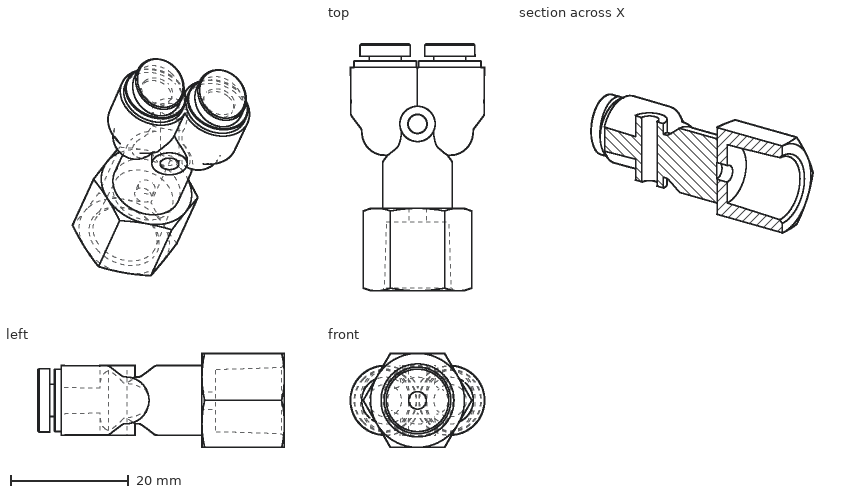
import cadquery as cq
import math


overall_length = 42.0

hex_flats = 16.0
hex_length = 14.03
hex_chamfer_angle = 20.0
thread_mouth_dia = 11.35
thread_floor_dia = 10.63
thread_depth = 11.75
mouth_chamfer = 0.55
socket_bore_dia = 3.0

stem_dia = 11.9
neck_radius = 4.0
stem_shoulder_y = 21.95
stem_cone_end_y = 24.55
arm_offset = 5.5
arm_mouth_radius = stem_dia / 2
arm_root_radius = 5.9
arm_mouth_y = 38.0
arm_cone_top_y = 29.9
arm_cone_end_y = 27.43
arm_dome_y = 27.0
shoulder_fillet = 0.8
neck_fillet = 0.85

boss_dia = 6.0
boss_hole_dia = 3.2
boss_y = 28.4

cap_dia = 10.65
cap_thickness = 1.15
cap_chamfer = 0.13

button_width = 8.55
button_height = 10.8
button_thickness = 2.1
button_chamfer = 0.25
button_neck_dia = 5.5

hex_corners = hex_flats / math.cos(math.radians(30))
cap_top_y = arm_mouth_y + cap_thickness
button_bottom_y = overall_length - button_thickness
arm_positions = (-arm_offset, arm_offset)


def revolve_about_y(profile):
    """Turn a closed half-profile in the XY plane around the Y axis."""
    return profile.close().revolve(360, (0, 0, 0), (0, 1, 0))


def plane_across_y(y, x=0.0):
    """Workplane at the given place whose normal is +Y."""
    return cq.Workplane(cq.Plane(origin=(x, y, 0), xDir=(1, 0, 0), normal=(0, 1, 0)))


def ring_edges_at(solid, radius, y):
    """The circular edges of a turned solid at one radius and Y place."""
    margin = 0.1
    box = cq.selectors.BoxSelector(
        (-radius - margin, y - margin, -radius - margin),
        (radius + margin, y + margin, radius + margin),
        boundingbox=True,
    )
    return solid.edges("%CIRCLE").edges(box)


def make_socket():
    """Hexagonal socket with chamfered corners, tapered thread and floor bore."""
    prism = plane_across_y(0).polygon(6, hex_corners).extrude(hex_length)

    corner_drop = (hex_corners - hex_flats) / 2 * math.tan(math.radians(hex_chamfer_angle))
    turned_blank = revolve_about_y(
        cq.Workplane("XY")
        .moveTo(0, 0)
        .lineTo(hex_flats / 2, 0)
        .lineTo(hex_corners / 2, corner_drop)
        .lineTo(hex_corners / 2, hex_length - corner_drop)
        .lineTo(hex_flats / 2, hex_length)
        .lineTo(0, hex_length)
    )

    mouth_radius = thread_mouth_dia / 2
    cavity = revolve_about_y(
        cq.Workplane("XY")
        .moveTo(0, 0)
        .lineTo(mouth_radius + mouth_chamfer, 0)
        .lineTo(mouth_radius, mouth_chamfer)
        .lineTo(thread_floor_dia / 2, thread_depth)
        .lineTo(socket_bore_dia / 2, thread_depth)
        .lineTo(socket_bore_dia / 2, hex_length)
        .lineTo(0, hex_length)
    )
    return prism.intersect(turned_blank).cut(cavity)


def make_stem():
    """Round stem that narrows through a rounded cone to the neck."""
    stem_radius = stem_dia / 2
    stem = revolve_about_y(
        cq.Workplane("XY")
        .moveTo(0, hex_length)
        .lineTo(stem_radius, hex_length)
        .lineTo(stem_radius, stem_shoulder_y)
        .lineTo(neck_radius, stem_cone_end_y)
        .lineTo(neck_radius, boss_y)
        .lineTo(0, boss_y)
    )
    stem = ring_edges_at(stem, stem_radius, stem_shoulder_y).fillet(shoulder_fillet)
    return ring_edges_at(stem, neck_radius, stem_cone_end_y).fillet(neck_fillet)


def make_arm():
    """Slightly tapered arm that narrows through a rounded cone to a dome."""
    arm = revolve_about_y(
        cq.Workplane("XY")
        .moveTo(0, arm_mouth_y)
        .lineTo(arm_mouth_radius, arm_mouth_y)
        .lineTo(arm_root_radius, arm_cone_top_y)
        .lineTo(neck_radius, arm_cone_end_y)
        .lineTo(neck_radius, arm_dome_y)
        .lineTo(0, arm_dome_y)
    )
    arm = ring_edges_at(arm, arm_root_radius, arm_cone_top_y).fillet(shoulder_fillet)
    arm = ring_edges_at(arm, neck_radius, arm_cone_end_y).fillet(neck_fillet)
    dome = cq.Workplane("XY").sphere(neck_radius).translate((0, arm_dome_y, 0))
    return arm.union(dome)


def make_body():
    """Stem, both arms and the drilled mounting boss as one solid."""
    body = make_stem()
    for x in arm_positions:
        body = body.union(make_arm().translate((x, 0, 0)))

    boss_plane = cq.Workplane("XY", origin=(0, boss_y, 0))
    boss = boss_plane.circle(boss_dia / 2).extrude(stem_dia / 2, both=True)
    hole = boss_plane.circle(boss_hole_dia / 2).extrude(stem_dia, both=True)
    return body.union(boss).cut(hole)


def make_cap(x):
    """Round cap on the end of one arm."""
    cap = plane_across_y(arm_mouth_y, x).circle(cap_dia / 2).extrude(cap_thickness)
    return cap.faces(">Y").chamfer(cap_chamfer)


def make_button(x):
    """Oval release button standing on its neck above one cap."""
    neck_length = button_bottom_y - cap_top_y
    neck = plane_across_y(cap_top_y, x).circle(button_neck_dia / 2).extrude(neck_length)
    head = (
        plane_across_y(button_bottom_y, x)
        .ellipse(button_width / 2, button_height / 2)
        .extrude(button_thickness)
        .faces(">Y")
        .chamfer(button_chamfer)
    )
    return head.union(neck)


socket = make_socket()
body = make_body()
caps = [make_cap(x) for x in arm_positions]
buttons = [make_button(x) for x in arm_positions]

result = cq.Compound.makeCompound(
    [
        socket.val(),
        body.val(),
        *[cap.val() for cap in caps],
        *[button.val() for button in buttons],
    ]
)